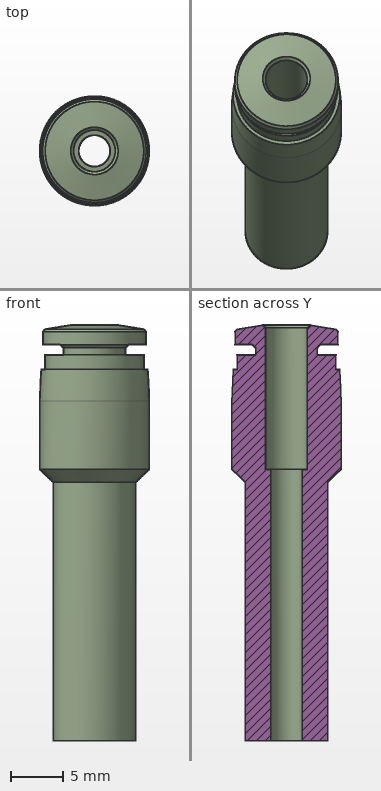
import cadquery as cq

total_height = 39.8
stem_top = 24.75
body_bottom = 26.0
body_top = 32.55
shoulder_top = 35.55
collar_top = 36.95
neck_top = 37.6
cap_bottom = 37.93
cap_rim = 39.4

stem_diameter = 7.92
body_diameter = 10.5
shoulder_diameter = 10.23
collar_diameter = 9.5
neck_diameter = 5.97
flare_diameter = 6.6
cap_diameter = 9.9
bore_diameter = 3.0
socket_diameter = 3.98
mouth_diameter = 4.55

cap_chamfer = 0.25
shoulder_bulge = 0.02
mouth_depth = 0.28
socket_floor = body_bottom

stem_radius = stem_diameter / 2
body_radius = body_diameter / 2
shoulder_radius = shoulder_diameter / 2
collar_radius = collar_diameter / 2
neck_radius = neck_diameter / 2
flare_radius = flare_diameter / 2
cap_radius = cap_diameter / 2
bore_radius = bore_diameter / 2
socket_radius = socket_diameter / 2
mouth_radius = mouth_diameter / 2

shoulder_middle = (
    (body_radius + shoulder_radius) / 2 + shoulder_bulge,
    (body_top + shoulder_top) / 2,
)

half_section = (
    cq.Workplane("XZ")
    .moveTo(bore_radius, 0)
    .lineTo(stem_radius, 0)
    .lineTo(stem_radius, stem_top)
    .lineTo(body_radius, body_bottom)
    .lineTo(body_radius, body_top)
    .threePointArc(shoulder_middle, (shoulder_radius, shoulder_top))
    .lineTo(collar_radius, shoulder_top)
    .lineTo(collar_radius, collar_top)
    .lineTo(neck_radius, collar_top)
    .lineTo(neck_radius, neck_top)
    .lineTo(flare_radius, cap_bottom)
    .lineTo(cap_radius, cap_bottom)
    .lineTo(cap_radius, cap_rim - cap_chamfer)
    .lineTo(cap_radius - cap_chamfer, cap_rim)
    .lineTo(mouth_radius, total_height)
    .lineTo(socket_radius, total_height - mouth_depth)
    .lineTo(socket_radius, socket_floor)
    .lineTo(bore_radius, socket_floor)
    .close()
)

result = half_section.revolve(360, (0, 0, 0), (0, 1, 0))